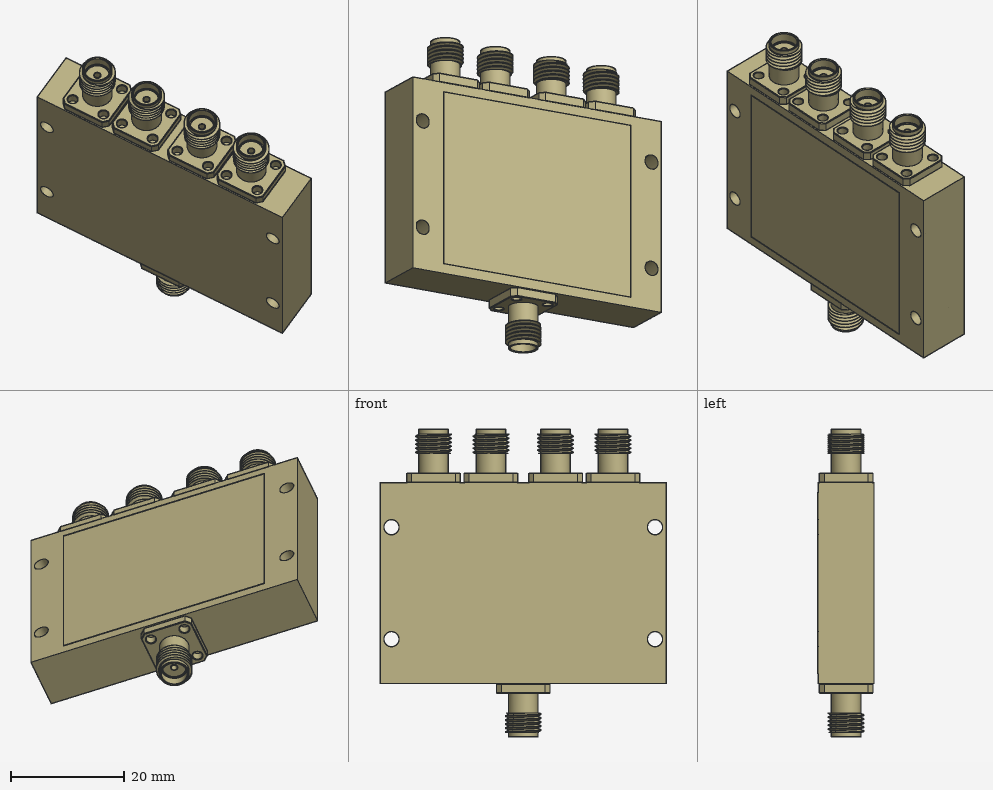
import cadquery as cq
import math

housing_width = 50.6
housing_depth = 9.906
housing_height = 35.56
mount_hole_diameter = 2.64
mount_hole_edge_distance = 2.0
mount_hole_x = housing_width / 2 - mount_hole_edge_distance
mount_hole_z = 9.9

overall_depth = 10.03
label_width = 38.1
label_height = 32.0
label_thickness = overall_depth - housing_depth

overall_height = 54.48
connector_length = (overall_height - housing_height) / 2
inner_pair_x = 5.715
outer_pair_x = 15.875
output_placements = [
    (-outer_pair_x, 0),
    (-inner_pair_x, 0),
    (inner_pair_x, 180),
    (outer_pair_x, 180),
]

flange_size = 9.525
flange_thickness = 1.72
flange_corner_chamfer = 0.9
flange_edge_chamfer = 0.13
flange_hole_diameter = 1.7
flange_hole_mouth_diameter = 1.95
flange_hole_mouth_angle = 90
flange_hole_spacing = 6.35

barrel_diameter = 5.28
thread_diameter = 6.35
threads_per_inch = 36
thread_pitch = 25.4 / threads_per_inch
thread_length = 3.43
thread_end_gap = 0.86
thread_crest_width = thread_pitch / 8
thread_root_gap = 0.02 * thread_pitch
thread_base_width = thread_pitch - thread_root_gap
thread_embed = 0.04
thread_start_angle = 75

bore_diameter = 4.6
rim_outer_chamfer = 0.09
rim_inner_chamfer = 0.15
bore_depth = 1.75
insulator_diameter = 4.19
insulator_recess = 0.25
contact_diameter = 1.27
contact_height = 0.1
contact_hole_diameter = 1.02
contact_hole_depth = 2.0
contact_tip_half_angle = 59
contact_tip_depth = contact_hole_diameter / 2 / math.tan(math.radians(contact_tip_half_angle))


def make_housing():
    block = cq.Workplane("XY").box(housing_width, housing_depth, housing_height)
    holes = (
        cq.Workplane("XZ", origin=(0, housing_depth / 2, 0))
        .rect(2 * mount_hole_x, 2 * mount_hole_z, forConstruction=True)
        .vertices()
        .circle(mount_hole_diameter / 2)
        .extrude(housing_depth)
    )
    return block.cut(holes)


def make_label():
    return (
        cq.Workplane("XY")
        .box(label_width, label_thickness, label_height)
        .translate((0, (housing_depth + label_thickness) / 2, 0))
    )


def make_flange():
    return (
        cq.Workplane("XY")
        .rect(flange_size, flange_size)
        .extrude(flange_thickness)
        .edges("|Z")
        .chamfer(flange_corner_chamfer)
        .faces("<Z or >Z")
        .chamfer(flange_edge_chamfer)
        .faces(">Z")
        .workplane()
        .rect(flange_hole_spacing, flange_hole_spacing, forConstruction=True)
        .vertices()
        .cskHole(flange_hole_diameter, flange_hole_mouth_diameter, flange_hole_mouth_angle)
    )


def make_thread():
    """Helical ridge that starts and ends on the flat end faces of the threaded length."""
    crest_radius = thread_diameter / 2
    root_radius = barrel_diameter / 2 - thread_embed
    helix_length = thread_length + 2 * thread_pitch
    helix = cq.Wire.makeHelix(thread_pitch, helix_length, root_radius)
    ridge = (
        cq.Workplane("XZ")
        .moveTo(root_radius, thread_base_width / 2)
        .lineTo(crest_radius, thread_crest_width / 2)
        .lineTo(crest_radius, -thread_crest_width / 2)
        .lineTo(root_radius, -thread_base_width / 2)
        .close()
        .sweep(cq.Workplane(obj=helix), isFrenet=True)
        .translate((0, 0, -thread_pitch))
        .rotate((0, 0, 0), (0, 0, 1), thread_start_angle)
    )
    trim = cq.Workplane("XY").circle(thread_diameter).extrude(thread_length)
    return ridge.intersect(trim)


def make_connector():
    thread_base = connector_length - thread_end_gap - thread_length
    bore_floor = connector_length - bore_depth
    insulator_face = bore_floor - insulator_recess
    contact_face = insulator_face + contact_height
    barrel = (
        cq.Workplane("XY")
        .circle(barrel_diameter / 2)
        .extrude(connector_length)
        .faces(">Z")
        .chamfer(rim_outer_chamfer)
    )
    thread = make_thread().translate((0, 0, thread_base))
    bore = (
        cq.Workplane("XY", origin=(0, 0, bore_floor))
        .circle(bore_diameter / 2)
        .extrude(bore_depth)
    )
    bore_mouth = cq.Workplane(
        cq.Solid.makeCone(
            bore_diameter / 2,
            bore_diameter / 2 + rim_inner_chamfer,
            rim_inner_chamfer,
            pnt=cq.Vector(0, 0, connector_length - rim_inner_chamfer),
        )
    )
    recess = (
        cq.Workplane("XY", origin=(0, 0, insulator_face))
        .circle(insulator_diameter / 2)
        .extrude(insulator_recess)
    )
    contact = (
        cq.Workplane("XY", origin=(0, 0, insulator_face))
        .circle(contact_diameter / 2)
        .extrude(contact_height)
    )
    contact_hole = (
        cq.Workplane("XZ")
        .moveTo(0, contact_face)
        .lineTo(contact_hole_diameter / 2, contact_face)
        .lineTo(contact_hole_diameter / 2, contact_face - contact_hole_depth)
        .lineTo(0, contact_face - contact_hole_depth - contact_tip_depth)
        .close()
        .revolve(360, (0, 0, 0), (0, 1, 0))
    )
    shell = make_flange().union(barrel).union(thread).cut(bore).cut(bore_mouth).cut(recess)
    return shell.union(contact).cut(contact_hole)


housing = make_housing()
label = make_label()
connector = make_connector()
output_connectors = [
    connector.rotate((0, 0, 0), (0, 0, 1), turn).translate((x, 0, housing_height / 2))
    for x, turn in output_placements
]
input_connector = connector.rotate((0, 0, 0), (0, 1, 0), 180).translate(
    (0, 0, -housing_height / 2)
)

result = cq.Compound.makeCompound(
    [
        housing.val(),
        label.val(),
        *[output.val() for output in output_connectors],
        input_connector.val(),
    ]
)